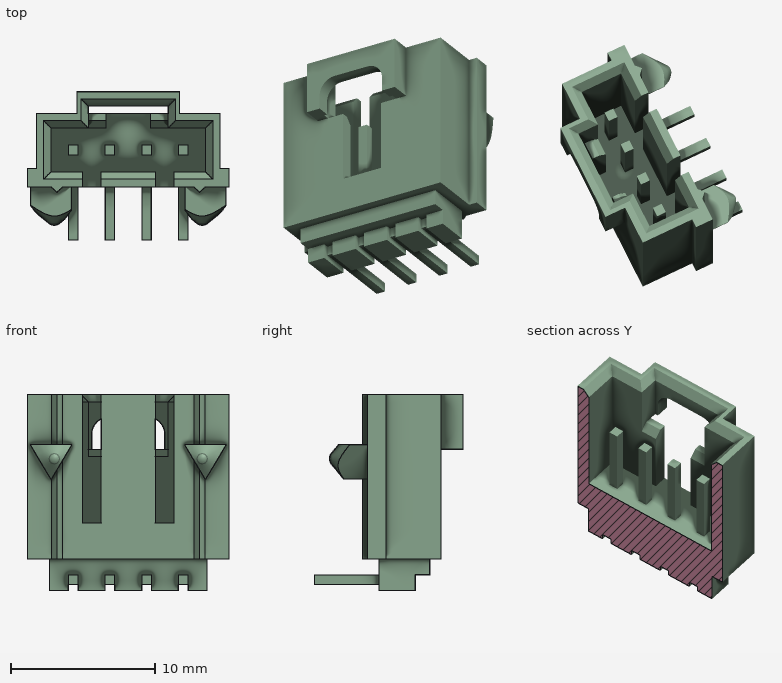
import cadquery as cq
import math


TOTAL_HEIGHT = 13.59
FOOT_HEIGHT = 2.18
FLANGE_WIDTH = 13.97
FLANGE_DEPTH = 1.29
BODY_WIDTH = 12.73
BODY_DEPTH = 5.1
TAB_WIDTH = 7.12
TAB_BACK = 6.61
TAB_HEIGHT = 3.8
TAB_BOTTOM = TOTAL_HEIGHT - TAB_HEIGHT

WALL = 1.0
LEAD_IN = 0.5
LEAD_IN_HEIGHT = 0.52
CAVITY_WIDTH = BODY_WIDTH - 2 * WALL
CAVITY_FRONT = 1.05
CAVITY_BACK = BODY_DEPTH - WALL
TAB_CAVITY_WIDTH = 5.53
TAB_CAVITY_BACK = TAB_BACK - WALL
CAVITY_DEPTH = 8.91
CAVITY_FLOOR = TOTAL_HEIGHT - CAVITY_DEPTH

SLOT_INNER = 1.87
SLOT_OUTER = 3.17
NOTCH_WIDTH = 3.07
WINDOW_WIDTH = 5.06
WINDOW_DROP = 1.56
WINDOW_RADIUS = 1.2

RIDGE_X = 4.95
RIDGE_WIDTH = 0.78
RIDGE_HEIGHT = 0.36
PEG_X = 5.35
PEG_WIDTH = 2.92
PEG_HEIGHT = 2.45
PEG_DROP = 3.46
PEG_EDGE_RADIUS = 0.04
TIP_X = 5.13
TIP_DROP = 4.45
TIP_REACH = 2.65
TIP_RADIUS = 0.56
TIP_HALF_ANGLE = math.radians(51)

FOOT_WIDTH = 10.92
FOOT_FRONT = 0.77
FOOT_BACK = 4.32
FOOT_STEP_BACK = 3.31
FOOT_STEP_HEIGHT = 1.08

PIN_COUNT = 4
PIN_PITCH = 2.54
PIN_SIZE = 0.67
PIN_Y = 2.57
PIN_REACH = 3.69
PIN_TOP = TAB_BOTTOM


def block(x_range, y_range, z_range):
    """Box spanning the given ranges."""
    size = [high - low for low, high in (x_range, y_range, z_range)]
    corner = (x_range[0], y_range[0], z_range[0])
    return cq.Workplane("XY").box(*size, centered=False).translate(corner)


def centred_block(width, y_range, z_range):
    """Box of the given width, symmetric about X = 0."""
    return block((-width / 2, width / 2), y_range, z_range)


def on_both_sides(shape):
    """The shape together with its mirror image across X = 0."""
    return shape.union(shape.mirror("YZ"))


def housing_shell():
    full_height = (FOOT_HEIGHT, TOTAL_HEIGHT)
    body = centred_block(BODY_WIDTH, (0, BODY_DEPTH), full_height)
    flange = centred_block(FLANGE_WIDTH, (0, FLANGE_DEPTH), full_height)
    tab = centred_block(TAB_WIDTH, (CAVITY_BACK, TAB_BACK), (TAB_BOTTOM, TOTAL_HEIGHT))
    return body.union(flange).union(tab)


def lead_in(width, y_range):
    """Flared pocket mouth that widens by LEAD_IN on every side up to the rim."""
    y_size = y_range[1] - y_range[0]
    return (
        cq.Workplane("XY", origin=(0, sum(y_range) / 2, TOTAL_HEIGHT - LEAD_IN_HEIGHT))
        .rect(width, y_size)
        .workplane(offset=LEAD_IN_HEIGHT)
        .rect(width + 2 * LEAD_IN, y_size + 2 * LEAD_IN)
        .loft(ruled=True)
    )


def cavity():
    main_y = (CAVITY_FRONT, CAVITY_BACK)
    tab_y = (CAVITY_FRONT, TAB_CAVITY_BACK)
    main = centred_block(CAVITY_WIDTH, main_y, (CAVITY_FLOOR, TOTAL_HEIGHT))
    tab = centred_block(TAB_CAVITY_WIDTH, tab_y, (TAB_BOTTOM, TOTAL_HEIGHT))
    mouths = lead_in(CAVITY_WIDTH, main_y).union(lead_in(TAB_CAVITY_WIDTH, tab_y))
    return main.union(tab).union(mouths)


def lowered_wall_chamfer():
    """Bevel on the cavity edge of the back wall where it is lowered under the tab."""
    return (
        cq.Workplane("YZ", origin=(-TAB_CAVITY_WIDTH / 2, 0, 0))
        .moveTo(CAVITY_BACK, TAB_BOTTOM - LEAD_IN)
        .lineTo(CAVITY_BACK, TAB_BOTTOM)
        .lineTo(CAVITY_BACK + LEAD_IN, TAB_BOTTOM)
        .close()
        .extrude(TAB_CAVITY_WIDTH)
    )


def wall_openings():
    cavity_height = (CAVITY_FLOOR, TOTAL_HEIGHT)
    slots = on_both_sides(block((SLOT_INNER, SLOT_OUTER), (0, CAVITY_FRONT), cavity_height))
    notch = centred_block(NOTCH_WIDTH, (CAVITY_BACK, BODY_DEPTH), (CAVITY_FLOOR, TAB_BOTTOM))
    window = centred_block(
        WINDOW_WIDTH, (TAB_CAVITY_BACK, TAB_BACK), (TAB_BOTTOM, TOTAL_HEIGHT - WINDOW_DROP)
    )
    window = window.edges("|Y and >Z").fillet(WINDOW_RADIUS)
    return slots.union(notch).union(window)


def ridge(x):
    """V-shaped rib running the full height of the mounting face."""
    return (
        cq.Workplane("XY", origin=(x, 0, FOOT_HEIGHT))
        .moveTo(-RIDGE_WIDTH / 2, 0)
        .lineTo(0, -RIDGE_HEIGHT)
        .lineTo(RIDGE_WIDTH / 2, 0)
        .close()
        .extrude(TOTAL_HEIGHT - FOOT_HEIGHT)
    )


def right_peg():
    """Triangular peg whose end is trimmed to a cone with a rounded tip."""
    prism = (
        cq.Workplane("XZ", origin=(PEG_X, 0, TOTAL_HEIGHT - PEG_DROP))
        .moveTo(-PEG_WIDTH / 2, 0)
        .lineTo(PEG_WIDTH / 2, 0)
        .lineTo(0, -PEG_HEIGHT)
        .close()
        .extrude(TIP_REACH)
        .edges("|Y")
        .fillet(PEG_EDGE_RADIUS)
    )
    ball_y = TIP_RADIUS - TIP_REACH
    arc_mid_angle = (math.pi / 2 + TIP_HALF_ANGLE) / 2
    arc_mid = (TIP_RADIUS * math.cos(arc_mid_angle), ball_y - TIP_RADIUS * math.sin(arc_mid_angle))
    tangent_x = TIP_RADIUS * math.cos(TIP_HALF_ANGLE)
    tangent_y = ball_y - TIP_RADIUS * math.sin(TIP_HALF_ANGLE)
    flank_end_x = tangent_x - tangent_y * math.tan(TIP_HALF_ANGLE)
    cone = (
        cq.Workplane("XY")
        .moveTo(0, 0)
        .lineTo(0, -TIP_REACH)
        .threePointArc(arc_mid, (tangent_x, tangent_y))
        .lineTo(flank_end_x, 0)
        .close()
        .revolve(360, (0, 0, 0), (0, 1, 0))
        .translate((TIP_X, 0, TOTAL_HEIGHT - TIP_DROP))
    )
    return prism.intersect(cone)


def foot():
    upper = centred_block(FOOT_WIDTH, (FOOT_FRONT, FOOT_BACK), (FOOT_STEP_HEIGHT, FOOT_HEIGHT))
    lower = centred_block(FOOT_WIDTH, (FOOT_FRONT, FOOT_STEP_BACK), (0, FOOT_STEP_HEIGHT))
    return upper.union(lower)


def pin_positions():
    first = -PIN_PITCH * (PIN_COUNT - 1) / 2
    return [first + i * PIN_PITCH for i in range(PIN_COUNT)]


def pin_sides(x):
    return (x - PIN_SIZE / 2, x + PIN_SIZE / 2)


def pin_channel(x):
    """Channel through the underside of the foot that holds the bent pin."""
    return block(pin_sides(x), (FOOT_FRONT, FOOT_STEP_BACK), (0, FOOT_STEP_HEIGHT))


def pin(x):
    """Right-angle pin: a post in the cavity and a tail leaving past the mounting face."""
    pin_back = PIN_Y + PIN_SIZE / 2
    tail_bottom = FOOT_STEP_HEIGHT - PIN_SIZE
    post = block(pin_sides(x), (PIN_Y - PIN_SIZE / 2, pin_back), (tail_bottom, PIN_TOP))
    tail = block(pin_sides(x), (-PIN_REACH, pin_back), (tail_bottom, FOOT_STEP_HEIGHT))
    return post.union(tail)


result = housing_shell().cut(cavity()).cut(lowered_wall_chamfer()).cut(wall_openings())
result = result.union(on_both_sides(right_peg()))
for ridge_x in (-RIDGE_X, RIDGE_X):
    result = result.union(ridge(ridge_x))
result = result.union(foot())
for pin_x in pin_positions():
    result = result.cut(pin_channel(pin_x)).union(pin(pin_x))